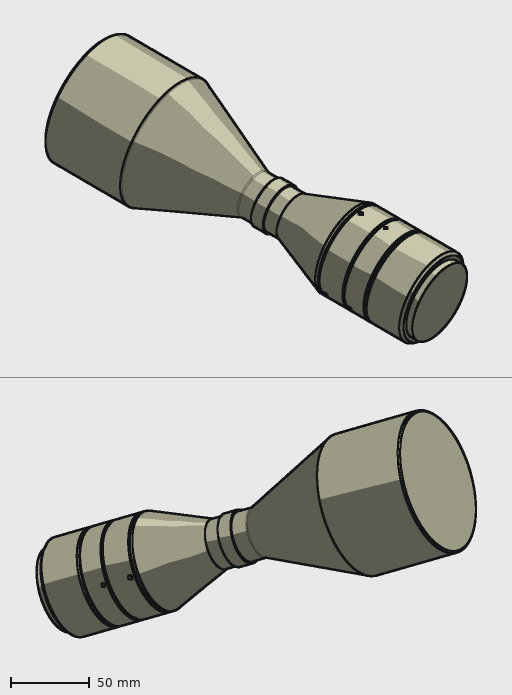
import cadquery as cq
import math

length = 283.5
head_end = 61.5
front_cone_start = 62.7
front_cone_end = 132.7
neck_start = 133.8
collar_start = 144.5
collar_end = 154.2
neck_end = 164.5
barrel_start = 208.7
barrel_end = 278.7

head_radius = 47.0
neck_radius = 16.7
collar_radius = 18.0
barrel_radius = 33.2
tail_radius = 28.4

head_chamfer = 1.0
cone_start_radius = head_radius - 0.5
cone_end_radius = neck_radius + 0.3
barrel_chamfer = 2.0

ring_grooves = [
    (211.0, 0.9, 0.5),
    (248.5, 1.7, 6.0),
]
vee_start = 230.8
vee_width = 1.7
vee_depth = 0.9

lip_width = 0.9
lip_depth = 0.3

screw_rows = [(215.2, 2.8), (235.3, 2.3)]
screws_per_row = 3
first_screw_angle = 80.0
screw_depth = 4.3


def make_body():
    """Revolve the stepped outer profile about the X axis."""
    profile = [
        (0, 0),
        (0, head_radius - head_chamfer),
        (head_chamfer, head_radius),
        (head_end, head_radius),
        (front_cone_start, cone_start_radius),
        (front_cone_end, cone_end_radius),
        (neck_start, neck_radius),
        (collar_start, neck_radius),
        (collar_start, collar_radius),
        (collar_end, collar_radius),
        (collar_end, neck_radius),
        (neck_end, neck_radius),
        (barrel_start, barrel_radius),
        (barrel_end - barrel_chamfer, barrel_radius),
        (barrel_end, barrel_radius - barrel_chamfer),
        (barrel_end, tail_radius),
        (length, tail_radius),
        (length, 0),
    ]
    return revolve_profile(profile)


def revolve_profile(points):
    return cq.Workplane("XY").polyline(points).close().revolve(360, (0, 0, 0), (1, 0, 0))


def make_ring_groove(start, width, depth):
    """Square-sided ring cutter that reaches past the barrel surface."""
    outer_radius = barrel_radius + 2.8
    floor_radius = barrel_radius - depth
    return revolve_profile([
        (start, floor_radius),
        (start, outer_radius),
        (start + width, outer_radius),
        (start + width, floor_radius),
    ])


def make_vee_groove(start, width, depth):
    """Triangular ring cutter with its point towards the axis."""
    return revolve_profile([
        (start, barrel_radius),
        (start + width, barrel_radius),
        (start + width / 2, barrel_radius - depth),
    ])


def make_lip_bevel(end):
    """Triangular ring cutter that bevels the barrel edge ending at the given station."""
    return revolve_profile([
        (end - lip_width, barrel_radius),
        (end, barrel_radius),
        (end, barrel_radius - lip_depth),
    ])


def make_screw_hole(station, diameter, angle):
    """Blind radial hole drilled inwards from the barrel surface."""
    direction = cq.Vector(0, math.cos(math.radians(angle)), math.sin(math.radians(angle)))
    floor = cq.Vector(station, 0, 0) + direction * (barrel_radius - screw_depth)
    return cq.Solid.makeCylinder(diameter / 2, 2 * screw_depth, floor, direction)


result = make_body()

for start, width, depth in ring_grooves:
    result = result.cut(make_ring_groove(start, width, depth))

result = result.cut(make_vee_groove(vee_start, vee_width, vee_depth))

deep_groove_start = ring_grooves[-1][0]
result = result.cut(make_lip_bevel(deep_groove_start))

for station, diameter in screw_rows:
    for index in range(screws_per_row):
        angle = first_screw_angle + index * 360 / screws_per_row
        result = result.cut(make_screw_hole(station, diameter, angle))